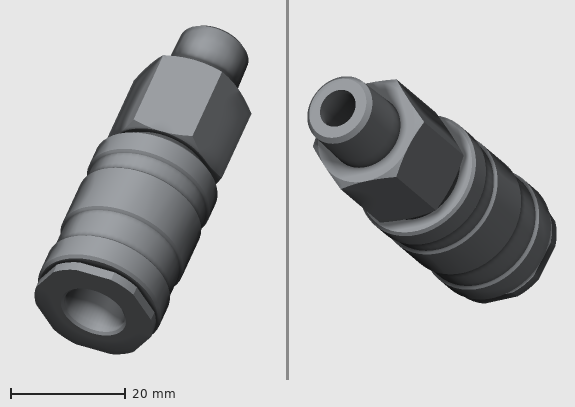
import cadquery as cq
import math

overall_length = 63.0

flange_radius = 11.0
flange_across_flats = 21.0
flange_length = 1.8

sleeve_radius = 11.5
sleeve_start = 2.7
sleeve_length = 30.0
sleeve_end = sleeve_start + sleeve_length
sleeve_bevel = 0.5
groove_radius = sleeve_radius - sleeve_bevel
front_groove_start = 7.7
front_groove_end = 14.7
rear_groove_start = 23.8
rear_groove_end = 28.3

front_neck_radius = 8.05
rear_neck_radius = 8.6

nut_across_flats = 19.0
nut_length = 17.0
nut_chamfer_angle = 30.0

thread_length = 11.0
thread_gauge_radius = 13.157 / 2
thread_gauge_length = 6.0
thread_taper = 1 / 32
thread_chamfer = 0.8

thread_start = overall_length - thread_length
nut_start = thread_start - nut_length

socket_radius = 5.65
socket_chamfer = 0.45
socket_depth = 25.0
passage_radius = 3.5


def revolve_profile(points):
    """Revolve a closed (radius, y) outline about the Y axis."""
    return cq.Workplane("XY").polyline(points).close().revolve(360, (0, 0, 0), (0, 1, 0))


def cylinder(radius, start, end):
    return revolve_profile([(0, start), (radius, start), (radius, end), (0, end)])


def hexagon(across_flats, start, end):
    """Hexagonal prism along Y with flats facing +Z and -Z."""
    across_corners = across_flats / math.cos(math.pi / 6)
    face = cq.Workplane("XZ", origin=(0, start, 0)).polygon(6, across_corners)
    return face.extrude(start - end)


def make_flange():
    disc = cylinder(flange_radius, 0, flange_length)
    return disc.intersect(hexagon(flange_across_flats, 0, flange_length))


def groove(start, end):
    """Cutting ring for a sleeve groove whose flanks slope at 45 degrees."""
    return revolve_profile([
        (sleeve_radius, start),
        (groove_radius, start + sleeve_bevel),
        (groove_radius, end - sleeve_bevel),
        (sleeve_radius, end),
    ])


def make_sleeve():
    sleeve = cylinder(sleeve_radius, sleeve_start, sleeve_end).edges("%CIRCLE").chamfer(sleeve_bevel)
    sleeve = sleeve.cut(groove(front_groove_start, front_groove_end))
    return sleeve.cut(groove(rear_groove_start, rear_groove_end))


def make_nut():
    """Hexagon with its corners turned off by a cone at both ends."""
    face_radius = nut_across_flats / 2
    corner_radius = face_radius / math.cos(math.pi / 6)
    chamfer_length = (corner_radius - face_radius) * math.tan(math.radians(nut_chamfer_angle))
    turned_envelope = revolve_profile([
        (0, nut_start),
        (face_radius, nut_start),
        (corner_radius, nut_start + chamfer_length),
        (corner_radius, thread_start - chamfer_length),
        (face_radius, thread_start),
        (0, thread_start),
    ])
    return hexagon(nut_across_flats, nut_start, thread_start).intersect(turned_envelope)


def thread_radius(distance_from_tip):
    return thread_gauge_radius + thread_taper * (distance_from_tip - thread_gauge_length)


def make_thread():
    chamfered_radius = thread_radius(thread_chamfer)
    return revolve_profile([
        (0, thread_start),
        (thread_radius(thread_length), thread_start),
        (chamfered_radius, overall_length - thread_chamfer),
        (chamfered_radius - thread_chamfer, overall_length),
        (0, overall_length),
    ])


def make_bore():
    """Countersunk socket followed by the narrower through passage."""
    return revolve_profile([
        (0, 0),
        (socket_radius + socket_chamfer, 0),
        (socket_radius, socket_chamfer),
        (socket_radius, socket_depth),
        (passage_radius, socket_depth),
        (passage_radius, overall_length),
        (0, overall_length),
    ])


front_neck = cylinder(front_neck_radius, flange_length, sleeve_start)
rear_neck = cylinder(rear_neck_radius, sleeve_end, nut_start)

body = make_flange()
for section in (front_neck, make_sleeve(), rear_neck, make_nut(), make_thread()):
    body = body.union(section)

result = body.cut(make_bore())